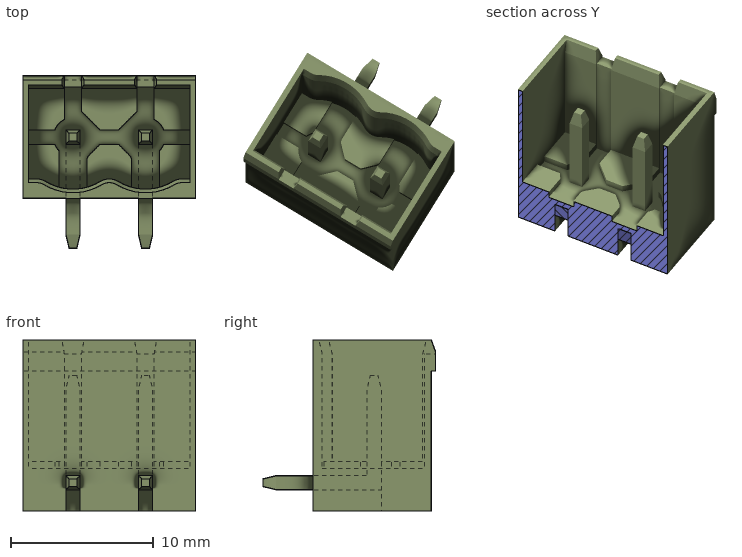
import cadquery as cq
import math


width = 12.08
depth = 8.3
height = 12.0
side_wall = 0.39
rear_wall = 0.6
floor_top = 3.5

lip_depth = 0.3
lip_height = 2.2
lip_chamfer_height = 0.85

mouth_taper = 0.25
mouth_height = 1.0
mouth_bottom = height - mouth_height

pitch = 5.08
pin_y = 4.3
pin_size = 1.0
pin_tip_size = 0.55
pin_taper_length = 0.95
pin_top = 9.5
pin_reach = 3.5
tail_center_z = 2.0
tail_top = tail_center_z + pin_size / 2
leg_back = pin_y + pin_size / 2

scallop_radius = 3.64
crest_radius = 1.26

groove_width = 1.2
groove_depth = 0.11
notch_flare = 0.18

channel_depth = 0.5
channel_bottom = floor_top - channel_depth
channel_mid = floor_top - channel_depth / 2
front_channel_width = 1.96
pin_clearance_radius = 1.37
gusset_reach = 2.4
gusset_fillet = 0.5

inner_half_width = width / 2 - side_wall
inner_rear = depth - rear_wall
sides = (-1, 1)


def box(x_center, x_size, y_min, y_max, z_min, z_max):
    """Box centred on x_center, between the given Y and Z limits."""
    return (
        cq.Workplane("XY", origin=(x_center, 0, z_min))
        .rect(x_size, y_max - y_min)
        .extrude(z_max - z_min)
        .translate((0, (y_min + y_max) / 2, 0))
    )


def pocket_outline(plane, grow):
    """Pocket outline, with its front and rear edges moved outward by grow.

    The front edge is a scallop around each pin, joined by tangent crest arcs."""
    scallop = scallop_radius + grow
    crest = crest_radius - grow
    half_pitch = pitch / 2
    crest_drop = math.sqrt((scallop + crest) ** 2 - half_pitch**2)
    crest_y = pin_y - crest_drop
    crest_top = crest_y + crest
    blend_share = scallop / (scallop + crest)
    blend_x = half_pitch * blend_share
    blend_y = pin_y - crest_drop * blend_share
    half_turn = math.atan2(half_pitch, crest_drop) / 2
    arc_mid_x = crest * math.sin(half_turn)
    arc_mid_y = crest_y + crest * math.cos(half_turn)
    rear = inner_rear + grow

    return (
        plane.moveTo(-inner_half_width, rear)
        .lineTo(-inner_half_width, crest_top)
        .lineTo(-pitch, crest_top)
        .threePointArc((-pitch + arc_mid_x, arc_mid_y), (-half_pitch - blend_x, blend_y))
        .threePointArc((-half_pitch, pin_y - scallop), (-half_pitch + blend_x, blend_y))
        .threePointArc((0, crest_top), (half_pitch - blend_x, blend_y))
        .threePointArc((half_pitch, pin_y - scallop), (half_pitch + blend_x, blend_y))
        .threePointArc((pitch - arc_mid_x, arc_mid_y), (pitch, crest_top))
        .lineTo(inner_half_width, crest_top)
        .lineTo(inner_half_width, rear)
        .close()
    )


def make_shell():
    """Solid housing block with the lip, drawn as a side profile."""
    return (
        cq.Workplane("YZ", origin=(-width / 2, 0, 0))
        .moveTo(0, 0)
        .lineTo(depth, 0)
        .lineTo(depth, height - lip_height)
        .lineTo(depth + lip_depth, height - lip_height)
        .lineTo(depth + lip_depth, height - lip_chamfer_height)
        .lineTo(depth, height)
        .lineTo(0, height)
        .close()
        .extrude(width)
    )


def make_pocket():
    """Straight pocket with the tapered mouth above it."""
    straight = pocket_outline(cq.Workplane("XY", origin=(0, 0, floor_top)), 0)
    mouth = pocket_outline(cq.Workplane("XY", origin=(0, 0, mouth_bottom)), 0)
    mouth = pocket_outline(mouth.workplane(offset=mouth_height), mouth_taper)
    return straight.extrude(mouth_bottom - floor_top).union(mouth.loft(ruled=True))


def make_rear_notch(x):
    """Flared notch through the top of the rear wall."""
    bottom = groove_width / 2
    top = bottom + notch_flare
    return (
        cq.Workplane("XZ", origin=(x, depth + lip_depth, 0))
        .moveTo(-bottom, mouth_bottom)
        .lineTo(bottom, mouth_bottom)
        .lineTo(top, height)
        .lineTo(-top, height)
        .close()
        .extrude(lip_depth + rear_wall)
    )


def make_floor_channel(side):
    """Floor channel around one pin; it runs up the rear wall as a groove."""
    x = side * pitch / 2
    gusset = (
        cq.Workplane("XY", origin=(x, pin_y, channel_bottom))
        .polyline([(0, gusset_reach), (-side * gusset_reach, 0), (0, -gusset_reach)])
        .close()
        .extrude(channel_depth)
    )
    front = box(x, front_channel_width, 0, pin_y, channel_bottom, floor_top)
    corner_x = x - side * front_channel_width / 2
    corner_y = pin_y - gusset_reach + front_channel_width / 2
    corner = cq.selectors.NearestToPointSelector((corner_x, corner_y, channel_mid))
    throat = front.union(gusset).edges("|Z").edges(corner).fillet(gusset_fillet)
    throat = throat.intersect(
        pocket_outline(cq.Workplane("XY", origin=(0, 0, channel_bottom)), 0).extrude(channel_depth)
    )
    clearance = (
        cq.Workplane("XY", origin=(x, pin_y, channel_bottom))
        .circle(pin_clearance_radius)
        .extrude(channel_depth)
    )
    groove = box(x, groove_width, pin_y, inner_rear + groove_depth, channel_bottom, mouth_bottom)
    return throat.union(clearance).union(groove)


def make_pin_seat(x):
    """Slot for the tail, open below and at the front, and the hole for the leg."""
    slot = box(x, pin_size, 0, leg_back, 0, tail_top)
    leg_hole = box(x, pin_size, leg_back - pin_size, leg_back, tail_top, channel_bottom)
    return slot.union(leg_hole)


def make_housing():
    cross_channel = box(
        0, 2 * inner_half_width, pin_y - pin_size / 2, leg_back, channel_bottom, floor_top
    )
    housing = make_shell().cut(make_pocket()).cut(cross_channel)
    for side in sides:
        x = side * pitch / 2
        housing = housing.cut(make_rear_notch(x))
        housing = housing.cut(make_floor_channel(side))
        housing = housing.cut(make_pin_seat(x))
    return housing


def make_bar(plane, length):
    """Square bar from the given plane, ending in a tapered tip."""
    shank_length = length - pin_taper_length
    shank = plane.rect(pin_size, pin_size).extrude(shank_length)
    tip = (
        plane.workplane(offset=shank_length)
        .rect(pin_size, pin_size)
        .workplane(offset=pin_taper_length)
        .rect(pin_tip_size, pin_tip_size)
        .loft(ruled=True)
    )
    return shank.union(tip)


def make_pin(x):
    """Right-angle pin: contact leg pointing up, solder tail pointing to -Y."""
    leg_bottom = tail_center_z - pin_size / 2
    leg = make_bar(cq.Workplane("XY", origin=(x, pin_y, leg_bottom)), pin_top - leg_bottom)
    tail = make_bar(cq.Workplane("XZ", origin=(x, leg_back, tail_center_z)), leg_back + pin_reach)
    return leg.union(tail)


housing = make_housing()
pins = [make_pin(side * pitch / 2) for side in sides]

result = cq.Compound.makeCompound([housing.solids().val(), *[pin.solids().val() for pin in pins]])